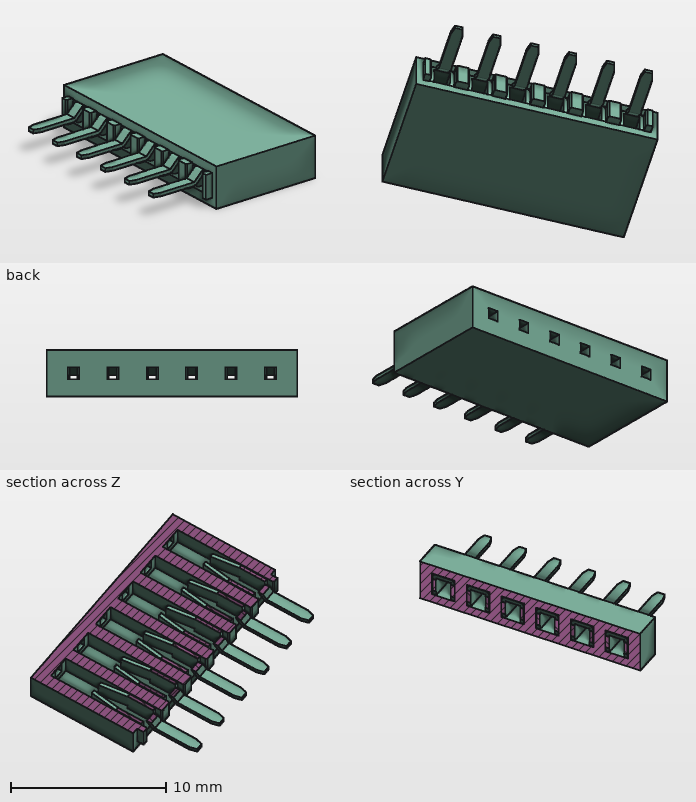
import cadquery as cq
import math


contact_count = 6
row_span = 12.69
housing_width = 16.14
housing_length = 8.0
housing_height = 3.0

cavity_side = 1.65
mating_wall = 1.0
mating_hole_side = 0.75

rib_height = 1.76
rib_length = 0.5
rib_chamfer = 0.1

cage_side = 1.61
sheet = 0.27
bend_angle = 45.0
tail_width = 0.79
tail_reach = 3.99
tip_length = 0.52
tip_width = 0.5
cage_length = 2.0
cage_corner_radius = 0.34
arm_length = 2.07
arm_top = 0.42
arm_bottom = -0.53
arm_gap = 0.5

pitch = row_span / (contact_count - 1)
rib_width = pitch - cavity_side
cavity_half = cavity_side / 2
cavity_depth = housing_length - mating_wall
cage_half = cage_side / 2
cage_inner_half = cage_half - sheet
row_half = row_span / 2
contact_places = [index * pitch - row_half for index in range(contact_count)]


def box_between(x_range, y_range, z_range):
    """Box spanning the given (low, high) pairs."""
    size = [high - low for low, high in (x_range, y_range, z_range)]
    return (
        cq.Workplane("XY")
        .box(*size, centered=False)
        .translate((x_range[0], y_range[0], z_range[0]))
    )


def make_cavity(x):
    """Space for one contact, with the square hole that admits the mating pin."""
    hole_half = mating_hole_side / 2
    pocket = box_between(
        (x - cavity_half, x + cavity_half), (0, cavity_depth), (-cavity_half, cavity_half)
    )
    hole = box_between(
        (x - hole_half, x + hole_half), (cavity_depth, housing_length), (-hole_half, hole_half)
    )
    return pocket.union(hole)


def make_rib(left, right, chamfered_edges):
    """Upright standoff rib whose chosen outer vertical edges are chamfered."""
    rib = box_between((left, right), (-rib_length, 0), (-rib_height / 2, rib_height / 2))
    return rib.faces("<Y").edges(chamfered_edges).chamfer(rib_chamfer)


def make_housing():
    housing = box_between(
        (-housing_width / 2, housing_width / 2),
        (0, housing_length),
        (-housing_height / 2, housing_height / 2),
    )
    for x in contact_places:
        housing = housing.cut(make_cavity(x))

    for x in contact_places[:-1]:
        middle = x + pitch / 2
        housing = housing.union(make_rib(middle - rib_width / 2, middle + rib_width / 2, "|Z"))
    row_end = row_half + pitch / 2
    housing = housing.union(make_rib(-row_end, -row_end + rib_width / 2, "|Z and >X"))
    housing = housing.union(make_rib(row_end - rib_width / 2, row_end, "|Z and <X"))
    return housing


def make_cage():
    """Channel open downwards: a base under the cavity roof and two side walls."""
    blank = box_between(
        (-cage_half, cage_half), (0, cage_length), (-cage_half, cage_half)
    )
    blank = blank.edges("|Y and >Z").fillet(sheet)
    blank = blank.edges("|X and <Z and <Y").fillet(cage_corner_radius)
    inside = box_between(
        (-cage_inner_half, cage_inner_half), (0, cage_length), (-cage_half, cage_inner_half)
    )
    return blank.cut(inside)


def make_arm(side):
    """Spring arm that continues a side wall and leans towards the contact's middle."""
    lean = cage_inner_half - arm_gap / 2
    arm_end = cage_length + arm_length
    outline = [
        (side * cage_inner_half, cage_length),
        (side * cage_half, cage_length),
        (side * (cage_half - lean), arm_end),
        (side * (cage_inner_half - lean), arm_end),
    ]
    return (
        cq.Workplane("XY")
        .workplane(offset=arm_bottom)
        .polyline(outline)
        .close()
        .extrude(arm_top - arm_bottom)
    )


def around(pivot, radius, angle):
    """Point (y, z) at the radius from the pivot, the angle turning from +Z towards -Y.

    A negative radius gives the point on the opposite side of the pivot.
    """
    turn = math.radians(angle)
    return (pivot[0] - radius * math.sin(turn), pivot[1] + radius * math.cos(turn))


def make_tail():
    """Solder tail: bent down from the base, then back level, and tapered at its tip."""
    upper_pivot = (0, cage_inner_half)
    slope_top = around(upper_pivot, sheet, bend_angle)
    slope_drop = slope_top[1] - sheet / 2
    slope_run = slope_drop / math.tan(math.radians(bend_angle))
    lower_pivot = (slope_top[0] - slope_run, sheet / 2)
    strip = (
        cq.Workplane("YZ")
        .workplane(offset=-tail_width / 2)
        .moveTo(*upper_pivot)
        .lineTo(*around(upper_pivot, sheet, 0))
        .threePointArc(around(upper_pivot, sheet, bend_angle / 2), slope_top)
        .lineTo(*lower_pivot)
        .lineTo(-tail_reach, sheet / 2)
        .lineTo(-tail_reach, -sheet / 2)
        .lineTo(*around(lower_pivot, -sheet, 0))
        .threePointArc(
            around(lower_pivot, -sheet, bend_angle / 2), around(lower_pivot, -sheet, bend_angle)
        )
        .close()
        .extrude(tail_width)
    )
    tip_start = tip_length - tail_reach
    plan = (
        cq.Workplane("XY")
        .workplane(offset=-cage_half)
        .polyline(
            [
                (-tail_width / 2, 0),
                (-tail_width / 2, tip_start),
                (-tip_width / 2, -tail_reach),
                (tip_width / 2, -tail_reach),
                (tail_width / 2, tip_start),
                (tail_width / 2, 0),
            ]
        )
        .close()
        .extrude(cage_side)
    )
    return strip.intersect(plan)


def make_contact(x):
    contact = make_cage().union(make_tail())
    for side in (-1, 1):
        contact = contact.union(make_arm(side))
    return contact.translate((x, 0, 0))


housing = make_housing()
contacts = [make_contact(x) for x in contact_places]

result = cq.Compound.makeCompound([housing.val(), *[contact.val() for contact in contacts]])